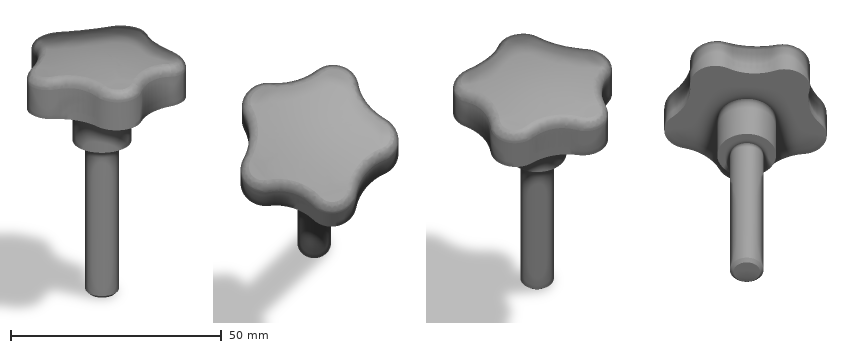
import cadquery as cq
import math

LOBE_COUNT = 5
HEAD_RADIUS = 20.0
LOBE_RADIUS = 6.0
VALLEY_RADIUS = 12.5
HEAD_HEIGHT = 12.0
DOME_RADIUS = 75.0
RIM_FILLET = 2.5

HUB_DIAMETER = 14.0
HUB_LENGTH = 12.0
STUD_DIAMETER = 8.0
STUD_LENGTH = 40.0
STUD_CHAMFER = 0.8

HUB_BOTTOM = STUD_LENGTH
HEAD_BOTTOM = HUB_BOTTOM + HUB_LENGTH
HEAD_TOP = HEAD_BOTTOM + HEAD_HEIGHT

LOBE_PITCH = 2 * math.pi / LOBE_COUNT
FIRST_LOBE_ANGLE = -math.pi / 2
LOBE_CENTRE_RADIUS = HEAD_RADIUS - LOBE_RADIUS


def polar(radius, angle):
    return radius * math.cos(angle), radius * math.sin(angle)


def star_outline():
    """Convex lobe arcs joined by tangent concave valley arcs."""
    half_pitch = LOBE_PITCH / 2
    centre_distance = LOBE_RADIUS + VALLEY_RADIUS
    half_width = LOBE_CENTRE_RADIUS * math.sin(half_pitch)
    valley_centre_radius = (LOBE_CENTRE_RADIUS * math.cos(half_pitch)
                            + math.sqrt(centre_distance ** 2 - half_width ** 2))
    valley_floor_radius = valley_centre_radius - VALLEY_RADIUS

    valley_x, valley_y = polar(valley_centre_radius, half_pitch)
    share = LOBE_RADIUS / centre_distance
    tangent_x = LOBE_CENTRE_RADIUS + share * (valley_x - LOBE_CENTRE_RADIUS)
    tangent_y = share * valley_y
    tangent_radius = math.hypot(tangent_x, tangent_y)
    tangent_angle = math.atan2(tangent_y, tangent_x)

    outline = cq.Workplane("XY", origin=(0, 0, HEAD_BOTTOM))
    outline = outline.moveTo(*polar(tangent_radius, FIRST_LOBE_ANGLE - tangent_angle))
    for index in range(LOBE_COUNT):
        lobe = FIRST_LOBE_ANGLE + index * LOBE_PITCH
        next_lobe = lobe + LOBE_PITCH
        outline = outline.threePointArc(polar(HEAD_RADIUS, lobe),
                                        polar(tangent_radius, lobe + tangent_angle))
        outline = outline.threePointArc(polar(valley_floor_radius, lobe + half_pitch),
                                        polar(tangent_radius, next_lobe - tangent_angle))
    return outline.close()


def make_head():
    """Star prism capped by a spherical dome, with a rounded rim."""
    prism = star_outline().extrude(HEAD_HEIGHT)
    dome = cq.Workplane("XY").sphere(DOME_RADIUS).translate((0, 0, HEAD_TOP - DOME_RADIUS))
    head = prism.intersect(dome)
    return head.faces("%SPHERE").edges().fillet(RIM_FILLET)


def make_hub():
    return cq.Workplane("XY", origin=(0, 0, HUB_BOTTOM)).circle(HUB_DIAMETER / 2).extrude(HUB_LENGTH)


def make_stud():
    stud = cq.Workplane("XY").circle(STUD_DIAMETER / 2).extrude(STUD_LENGTH)
    return stud.faces("<Z").chamfer(STUD_CHAMFER)


result = make_head().union(make_hub()).union(make_stud())